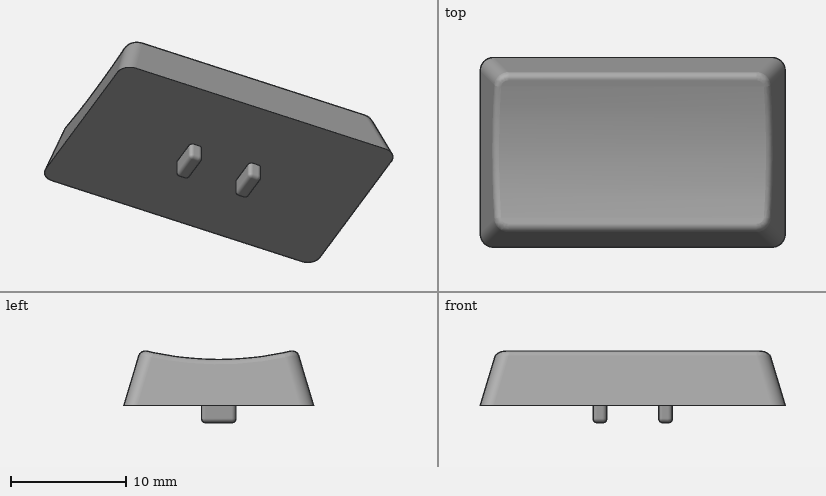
import cadquery as cq

BASE_LENGTH = 26.5
BASE_WIDTH = 16.5
WALL_DRAFT = 16.7
CORNER_RADIUS = 1.25
RIM_RADIUS = 0.62
BLANK_HEIGHT = 6.0

DISH_FLOOR_HEIGHT = 4.0
DISH_RADIUS = 26.8

LEG_SPACING = 5.7
LEG_THICKNESS = 1.2
LEG_WIDTH = 3.0
LEG_LENGTH = 1.5
LEG_RADIUS = 0.35


def make_body():
    """Tapered block with a dished top and rounded corners and rim."""
    block = (
        cq.Workplane("XY")
        .rect(BASE_LENGTH, BASE_WIDTH)
        .extrude(BLANK_HEIGHT, taper=WALL_DRAFT)
    )
    corner_edges = block.edges("not(#Z or |X or |Y)")
    block = corner_edges.fillet(CORNER_RADIUS)
    dish = (
        cq.Workplane("YZ")
        .center(0, DISH_FLOOR_HEIGHT + DISH_RADIUS)
        .circle(DISH_RADIUS)
        .extrude(BASE_LENGTH / 2, both=True)
    )
    dished = block.cut(dish)
    dish_face = dished.faces(cq.selectors.NearestToPointSelector((0, 0, DISH_FLOOR_HEIGHT)))
    return dish_face.edges().fillet(RIM_RADIUS)


def make_leg(x_center):
    """Rounded tab hanging from the underside of the body."""
    return (
        cq.Workplane("XY")
        .center(x_center, 0)
        .rect(LEG_THICKNESS, LEG_WIDTH)
        .extrude(-LEG_LENGTH)
        .edges("|Z or <Z")
        .fillet(LEG_RADIUS)
    )


result = make_body()
for side in (-1, 1):
    result = result.union(make_leg(side * LEG_SPACING / 2))